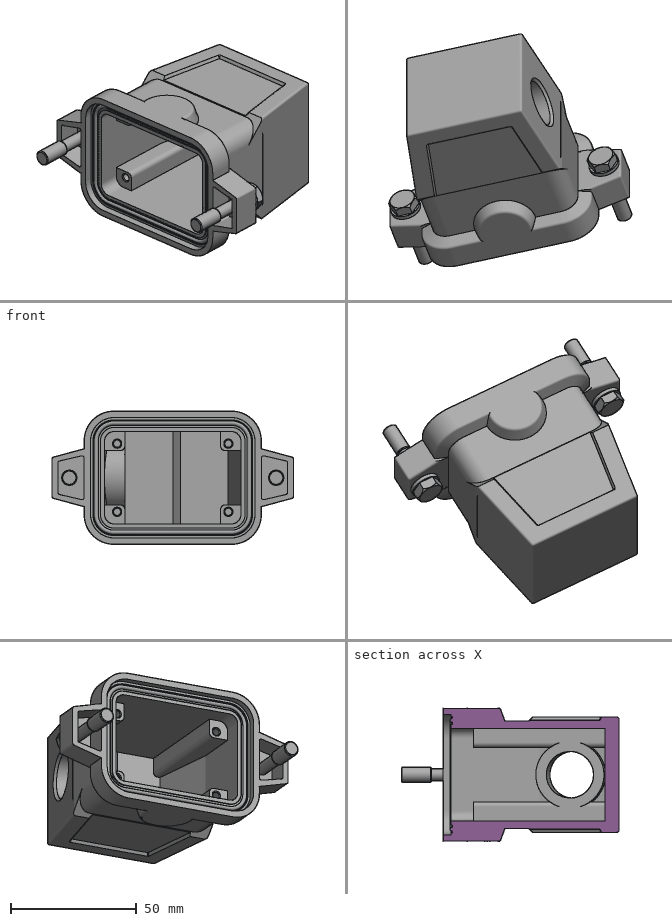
import cadquery as cq
import math


flange_half_x = 35.2
flange_half_z = 26.5
flange_depth = 12.0
flange_radius = 11.9
slope_height = 1.9
edge_round = 1.0

neck_half_x = 30.0
neck_half_z = 21.4
neck_radius = 6.9

head_half_z = 22.9
head_start_y = 35.6
head_end_y = 70.0
head_draft = 9.7
head_round = 1.0
head_bevel = head_half_z - (neck_half_z - neck_radius)
draft_start_y = head_start_y - (head_half_z - neck_half_z)
draft_slope = math.tan(math.radians(head_draft))
head_end_half_x = neck_half_x - (head_end_y - draft_start_y) * draft_slope

panel_floor_z = 21.7
panel_end_y = 62.2
panel_start_y = 33.1
panel_end_half_x = 17.1
panel_wall_angle = 30.0

boss_base_radius = 12.6
boss_draft = 20.0
boss_round = 1.2

ear_half_x = 48.0
ear_tip_half_z = 8.1
ear_root_half_z = 11.5
pocket_outer_x = 45.6
pocket_tip_half_z = 6.5
pocket_root_half_z = 8.9
pocket_depth = 9.6
pocket_round = 0.8

screw_x = 41.1
screw_tip_y = -16.6
thread_end_y = -4.6
shank_diameter = 4.8
thread_diameter = 6.0
thread_chamfer = 0.4
collar_diameter = 12.1
collar_height = 1.5
hex_flats = 10.2
hex_height = 3.9
hex_bevel = 0.9
slot_width = 1.9
slot_depth = 2.0

recess_inset = 2.6
recess_depth = 3.1
groove_outer_inset = 3.6
groove_inner_inset = 6.5
groove_depth = 0.5
groove_floor_y = recess_depth + groove_depth
bead_inset = 4.8
bead_radius = 0.9

cavity_inset = 8.2
cavity_half_x = flange_half_x - cavity_inset
cavity_half_z = flange_half_z - cavity_inset
cavity_radius = flange_radius - cavity_inset
left_taper_start_y = 38.4
left_floor_y = 64.3
step_size = 3.1
right_floor_y = left_floor_y - step_size
right_floor_half_x = 21.9

post_inner_x = 19.0
post_inner_z = 10.8
post_round = 1.9
post_hole_x = 22.1
post_hole_z = 13.5
post_hole_diameter = 2.9
post_hole_depth = 11.5
post_hole_chamfer = 0.4

entry_y = 51.7
entry_radius = 9.2
entry_chamfer = 1.1
collar_radius = 13.3


def plane_at(y):
    """Workplane facing -Y at depth y; negative extrusions go towards +Y."""
    return cq.Workplane("XZ", origin=(0, y, 0))


def rounded_block(half_x, half_z, radius, start_y, end_y):
    block = plane_at(start_y).rect(2 * half_x, 2 * half_z).extrude(start_y - end_y)
    return block.edges("|Y").fillet(radius)


def flange_inset_block(inset, start_y, end_y):
    return rounded_block(
        flange_half_x - inset, flange_half_z - inset, flange_radius - inset, start_y, end_y
    )


def both_sides(shape):
    return shape.union(shape.mirror("YZ"))


def cylinder(x, z, diameter, start_y, end_y):
    return plane_at(start_y).center(x, z).circle(diameter / 2).extrude(start_y - end_y)


def slab(start_y, end_y):
    """All space between two depths, wide enough to cover the whole part."""
    return plane_at(start_y).rect(2 * ear_half_x, 2 * ear_half_x).extrude(start_y - end_y)


def make_flange():
    """Rounded flange whose back face slopes up to the neck."""
    slope_inset = flange_half_x - neck_half_x
    flange = flange_inset_block(0, 0, flange_depth)
    flange = flange.faces(">Y").chamfer(slope_height, slope_inset)
    shoulder_y = flange_depth - slope_height
    tolerance = 0.1
    near_shoulder = cq.selectors.BoxSelector(
        (-ear_half_x, shoulder_y - tolerance, -ear_half_x),
        (ear_half_x, shoulder_y + tolerance, ear_half_x),
    )
    return flange.edges(near_shoulder).fillet(edge_round)


def make_neck():
    return rounded_block(neck_half_x, neck_half_z, neck_radius, recess_depth, head_start_y)


def make_head():
    bevel_start_y = head_start_y - head_bevel
    flat_half_z = head_half_z - head_bevel
    plan = [
        (-neck_half_x, bevel_start_y),
        (neck_half_x, bevel_start_y),
        (neck_half_x, draft_start_y),
        (head_end_half_x, head_end_y),
        (-head_end_half_x, head_end_y),
        (-neck_half_x, draft_start_y),
    ]
    side_profile = [
        (bevel_start_y, -flat_half_z),
        (head_start_y, -head_half_z),
        (head_end_y, -head_half_z),
        (head_end_y, head_half_z),
        (head_start_y, head_half_z),
        (bevel_start_y, flat_half_z),
    ]
    head = cq.Workplane("XY").polyline(plan).close().extrude(head_half_z, both=True)
    side_shape = cq.Workplane("YZ").polyline(side_profile).close().extrude(neck_half_x, both=True)
    head = head.intersect(side_shape)
    behind_bevel = cq.selectors.BoxSelector(
        (-ear_half_x, head_start_y + head_round, -ear_half_x),
        (ear_half_x, head_end_y + head_round, ear_half_x),
    )
    return head.edges(behind_bevel).fillet(head_round)


def make_panel_cut():
    """Panel recesses with sloped walls, open towards the neck."""
    start_half_x = panel_end_half_x + (panel_end_y - panel_start_y) * draft_slope
    outline = [
        (-start_half_x, panel_start_y),
        (start_half_x, panel_start_y),
        (panel_end_half_x, panel_end_y),
        (-panel_end_half_x, panel_end_y),
    ]
    panel = cq.Workplane("XY", origin=(0, 0, panel_floor_z)).polyline(outline).close()
    panel = panel.extrude(head_half_z - panel_floor_z, taper=-panel_wall_angle)
    return panel.union(panel.mirror("XY"))


def make_side_bosses():
    """Tapered round pads flush with the flange; their front part merges into the flange."""
    height = flange_half_z - neck_half_z
    boss = cq.Workplane("XY", origin=(0, flange_depth, neck_half_z)).circle(boss_base_radius)
    boss = boss.extrude(height, taper=boss_draft).faces(">Z").edges().fillet(boss_round)
    boss = boss.intersect(slab(flange_depth / 2, head_start_y))
    return boss.union(boss.mirror("XY"))


def make_ear():
    """Right-hand ear, still without its pocket."""
    outline = [
        (neck_half_x, -ear_root_half_z),
        (flange_half_x, -ear_root_half_z),
        (ear_half_x, -ear_tip_half_z),
        (ear_half_x, ear_tip_half_z),
        (flange_half_x, ear_root_half_z),
        (neck_half_x, ear_root_half_z),
    ]
    ear = plane_at(0).polyline(outline).close().extrude(-flange_depth)
    ear = ear.edges("|Y and >X").fillet(edge_round)
    return ear.faces(">Y").edges(">X").fillet(edge_round)


def make_ear_pocket():
    outline = [
        (flange_half_x, -pocket_root_half_z),
        (pocket_outer_x, -pocket_tip_half_z),
        (pocket_outer_x, pocket_tip_half_z),
        (flange_half_x, pocket_root_half_z),
    ]
    pocket = plane_at(0).polyline(outline).close().extrude(-pocket_depth)
    return pocket.edges("|Y").fillet(pocket_round)


def make_screw():
    """Right-hand captive screw with a slotted hexagon head."""
    collar_end_y = flange_depth + collar_height
    head_top_y = collar_end_y + hex_height
    shank = cylinder(screw_x, 0, shank_diameter, thread_end_y, flange_depth)
    thread = cylinder(screw_x, 0, thread_diameter, screw_tip_y, thread_end_y)
    thread = thread.faces("<Y or >Y").chamfer(thread_chamfer)
    collar = cylinder(screw_x, 0, collar_diameter, flange_depth, collar_end_y)
    hex_corners = hex_flats / math.cos(math.pi / 6)
    hexagon = plane_at(collar_end_y).center(screw_x, 0).polygon(6, hex_corners).extrude(-hex_height)
    crown = cylinder(screw_x, 0, hex_corners, collar_end_y, head_top_y)
    crown = crown.faces(">Y").chamfer(hex_bevel)
    slot = plane_at(head_top_y).center(screw_x, 0).rect(slot_width, collar_diameter).extrude(slot_depth)
    slot = slot.translate((0, slot_depth, 0))
    return shank.union(thread).union(collar).union(hexagon.intersect(crown).cut(slot))


def make_entry_cylinder(radius, length, taper=0):
    """Cylinder square to the drafted left wall, running inwards from its outer face."""
    wall_x = -(neck_half_x - (entry_y - draft_start_y) * draft_slope)
    tilt = math.radians(head_draft)
    inward = cq.Vector(math.cos(tilt), -math.sin(tilt), 0)
    plane = cq.Plane(origin=(wall_x, entry_y, 0), xDir=(0, 0, 1), normal=inward)
    return cq.Workplane(plane).circle(radius).extrude(length, taper=taper)


def make_post():
    """Corner post with a screw hole, in the +X +Z corner and reaching into the shell walls."""
    post = plane_at(flange_depth).moveTo(post_inner_x, post_inner_z)
    post = post.lineTo(neck_half_x, post_inner_z).lineTo(neck_half_x, neck_half_z)
    post = post.lineTo(post_inner_x, neck_half_z).close().extrude(flange_depth - head_end_y)
    post = post.edges("|Y").edges("<X").edges("<Z").fillet(post_round)
    hole_end_y = flange_depth + post_hole_depth
    hole = cylinder(post_hole_x, post_hole_z, post_hole_diameter, flange_depth, hole_end_y)
    countersink = plane_at(flange_depth).center(post_hole_x, post_hole_z)
    countersink = countersink.circle(post_hole_diameter / 2 + post_hole_chamfer)
    countersink = countersink.extrude(-post_hole_chamfer, taper=45)
    return post.cut(hole).cut(countersink)


def make_posts():
    right_posts = make_post().add(make_post().mirror("XY")).combine()
    return both_sides(right_posts)


def make_cavity():
    """Cavity with a stepped, narrowing floor, less the corner posts and the entry collar."""
    left_floor_half_x = cavity_half_x - (left_floor_y - left_taper_start_y) * draft_slope
    right_taper_start_y = right_floor_y - (cavity_half_x - right_floor_half_x) / draft_slope
    plan = [
        (-cavity_half_x, 0),
        (cavity_half_x, 0),
        (cavity_half_x, right_taper_start_y),
        (right_floor_half_x, right_floor_y),
        (step_size, right_floor_y),
        (0, left_floor_y),
        (-left_floor_half_x, left_floor_y),
        (-cavity_half_x, left_taper_start_y),
    ]
    cavity = cq.Workplane("XY").polyline(plan).close().extrude(cavity_half_z, both=True)
    cavity = cavity.intersect(
        rounded_block(cavity_half_x, cavity_half_z, cavity_radius, 0, head_end_y)
    )
    collar_limit = cq.Workplane("YZ", origin=(-post_inner_x, 0, 0)).center(entry_y, 0)
    collar_limit = collar_limit.circle(2 * collar_radius).extrude(-post_inner_x)
    collar = make_entry_cylinder(collar_radius, post_inner_x).intersect(collar_limit)
    return cavity.cut(make_posts()).cut(collar)


def make_entry_bore():
    bore = make_entry_cylinder(entry_radius, post_inner_x)
    mouth = make_entry_cylinder(entry_radius + entry_chamfer, entry_chamfer, taper=45)
    return bore.union(mouth)


def make_mouth_cut():
    """Recess around the mouth with the shallow groove for the sealing bead."""
    recess = flange_inset_block(recess_inset, 0, recess_depth)
    groove = flange_inset_block(groove_outer_inset, recess_depth, groove_floor_y)
    groove = groove.cut(flange_inset_block(groove_inner_inset, recess_depth, groove_floor_y))
    return recess.union(groove)


def make_bead():
    """Round sealing bead half sunk into the groove floor."""
    core = flange_inset_block(bead_inset, groove_floor_y, flange_depth)
    path = cq.Workplane(core.faces("<Y").wires().val())
    section = cq.Workplane("YZ", origin=(0, groove_floor_y, flange_half_z - bead_inset))
    return section.circle(bead_radius).sweep(path, transition="round")


shell = make_flange().union(make_neck()).union(make_head()).cut(make_panel_cut())
shell = shell.union(make_side_bosses()).union(both_sides(make_ear()))
shell = shell.cut(both_sides(make_ear_pocket())).cut(make_mouth_cut()).union(make_bead())
shell = shell.cut(make_cavity()).cut(make_entry_bore())

result = shell.union(both_sides(make_screw()))